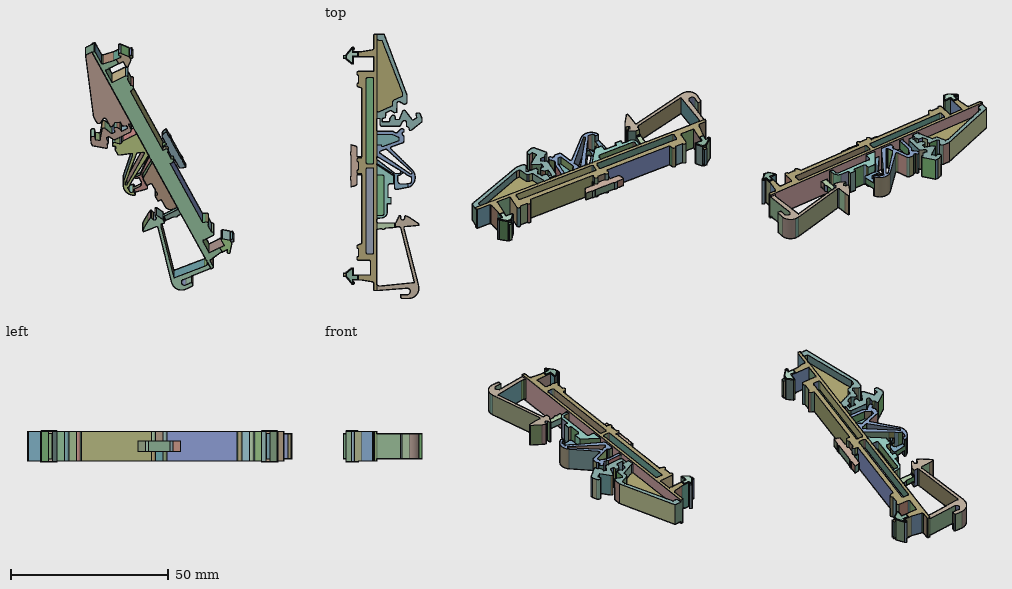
import cadquery as cq


BEAM_HEIGHT = 9.45
RAIL_SIDE_HEIGHT = 8.0
HEAD_HEIGHT = 9.92
CLIP_HEIGHT = 3.4
NECK_HEIGHT = 2.4
NECK_STEP_HEIGHT = 3.2
POCKET_FLOOR = 0.5

TOP_END = 41.84
BOTTOM_END = -39.67
SKIN = 1.0
THICK_SKIN = 2.0
BEAM_WIDTH = 4.82
BOSS_WIDTH = 5.85
BEAD = 0.5
BEAD_HALF = 0.65
BOSS_OUTER = 30.04
BOSS_INNER = 24.65
CENTRE_BOSS_HALF = 2.5
SLOT_WIDTH = 2.35
SLOT_ENDS = (0.62, 28.02)
SLOT_CORNER = 0.4
RECESS_FILLET = 0.4
ARM_INNER = 34.6
ARM_ROOT = 36.9
ARM_TIP = 36.3
ARM_LENGTH = 5.8
PIN_END = 10.65
PIN_START = 9.85
PIN_WIDTH = 1.0
HEAD_CHAMFER = 0.25
LINK_END = 9.9


def profile(start, *steps):
    """Closed outline: a step is a point (line) or a pair of points (arc: through, end)."""
    sketch = cq.Workplane("XY").moveTo(*start)
    for step in steps:
        if isinstance(step[0], tuple):
            sketch = sketch.threePointArc(*step)
        else:
            sketch = sketch.lineTo(*step)
    return sketch.close()


def prism(outline, height):
    return outline.extrude(height / 2, both=True)


def pocket(outline):
    """Cutter for a blind pocket open at the top."""
    return outline.extrude(BEAM_HEIGHT).translate((0, 0, POCKET_FLOOR))


def box(x_limits, y_limits, height):
    x_low, x_high = sorted(x_limits)
    y_low, y_high = sorted(y_limits)
    centre = ((x_low + x_high) / 2, (y_low + y_high) / 2)
    return cq.Workplane("XY").center(*centre).box(x_high - x_low, y_high - y_low, height)


def mirror_ends(shape):
    """The shape together with its mirror image at the other end of the beam."""
    return shape.union(shape.mirror("XZ"))


def bead(y):
    """Rounded bead along Z on a boss face."""
    low = y - BEAD_HALF
    high = y + BEAD_HALF
    outline = profile((-BEAM_WIDTH, high), (-BOSS_WIDTH, high),
                      ((-BOSS_WIDTH - BEAD, y), (-BOSS_WIDTH, low)), (-BEAM_WIDTH, low))
    return prism(outline, BEAM_HEIGHT)


def beam():
    corner = 0.25
    plate = box((-SKIN, 0), (BOTTOM_END, TOP_END), BEAM_HEIGHT)
    plate = plate.edges("|Z and <X").chamfer(corner)
    bar = box((-BEAM_WIDTH, 0), (-BOSS_OUTER, BOSS_OUTER), BEAM_HEIGHT)
    thick = box((-THICK_SKIN, 0), (-ARM_INNER, -BOSS_OUTER), BEAM_HEIGHT)
    body = plate.union(bar).union(thick)
    recess_corner = cq.selectors.NearestToPointSelector((-THICK_SKIN, -BOSS_OUTER, 0))
    body = body.edges(recess_corner).fillet(RECESS_FILLET)

    lead_in = 0.4
    end_boss = prism(profile((-BEAM_WIDTH, BOSS_OUTER), (-BOSS_WIDTH, BOSS_OUTER),
                             (-BOSS_WIDTH, BOSS_INNER + lead_in), (-BEAM_WIDTH, BOSS_INNER)), BEAM_HEIGHT)
    end_boss = end_boss.union(bead(BOSS_OUTER - BEAD_HALF))
    end_boss = end_boss.union(bead(BOSS_INNER + lead_in + BEAD_HALF))
    body = body.union(mirror_ends(end_boss))

    centre_boss = box((-BOSS_WIDTH, -BEAM_WIDTH), (-CENTRE_BOSS_HALF, CENTRE_BOSS_HALF), BEAM_HEIGHT)
    centre_boss = centre_boss.union(mirror_ends(bead(CENTRE_BOSS_HALF - BEAD_HALF)))
    body = body.union(centre_boss)

    slot = pocket(profile((-SKIN, SLOT_ENDS[0]), (-SKIN, SLOT_ENDS[1]),
                          (-SKIN - SLOT_WIDTH, SLOT_ENDS[1]), (-SKIN - SLOT_WIDTH, SLOT_ENDS[0])))
    slot = slot.edges("|Z").fillet(SLOT_CORNER)
    return body.cut(mirror_ends(slot))


def snap_arm():
    """Tapered arm with a barbed head and a pin at its tip."""
    bevel = 0.3
    arm = prism(profile((0, ARM_INNER), (0, ARM_ROOT + bevel), (-SKIN, ARM_ROOT + bevel),
                        (-SKIN - bevel, ARM_ROOT), (-BEAM_WIDTH, ARM_TIP), (-ARM_LENGTH, ARM_TIP),
                        (-ARM_LENGTH, ARM_INNER)), BEAM_HEIGHT)
    shoulder = 7.5
    head = prism(profile((-ARM_LENGTH, ARM_INNER), (-ARM_LENGTH, ARM_TIP), (-shoulder, ARM_TIP),
                         (-shoulder, 36.75), ((-7.55, 37.7), (-8.1, 37.35)),
                         (-PIN_START, 35.2), (-PIN_START, 33.9),
                         (-8.0, 32.4), (-7.4, 32.4), (-7.4, ARM_INNER)), HEAD_HEIGHT)
    head = head.faces(">Z").edges().chamfer(HEAD_CHAMFER)
    pin = box((-PIN_END, -shoulder), (ARM_INNER - PIN_WIDTH / 2, ARM_INNER + PIN_WIDTH / 2), RAIL_SIDE_HEIGHT)
    return arm.union(head).union(pin)


def marker_clip():
    """T-shaped clip straddling the centre boss."""
    back = -8.2
    front = -6.25
    end = 6.7
    stem_half = 2.9
    wing = profile((-BEAM_WIDTH, 0), (back, 0), (back, end), (-6.9, 6.4), (front, 5.95),
                   (front, stem_half), (-BEAM_WIDTH, stem_half))
    nub_rise = 0.15
    nub = box((back - nub_rise, back), (3.45, 4.43), CLIP_HEIGHT)
    return mirror_ends(prism(wing, CLIP_HEIGHT).union(nub))


def wedge():
    """Hollow tapered support with a stepped lower edge."""
    solid = prism(profile((0, TOP_END), (2.36, TOP_END), (9.63, 22.5), (9.63, 20.2),
                          ((9.25, 19.65), (8.5, 19.6)), (7.4, 20.25), ((6.75, 20.35), (6.45, 20.0)),
                          (6.4, 17.0), (5.57, 16.82), (4.48, 17.58), (2.91, 16.82), (2.8, 15.3),
                          (1.77, 14.97), (0, 14.97)), RAIL_SIDE_HEIGHT)
    hollow = pocket(profile((0, 40.6), ((0.2, 40.1), (0.65, 39.87)), (1.65, 39.87), (8.11, 23.28),
                            (8.11, 22.1), (5.4, 20.9), (5.07, 20.36), (5.07, 19.1), (0.5, 17.07), (0, 17.3)))
    return solid.cut(hollow)


def latch():
    """Zigzag spring latch hanging from the wedge on a thin hinge."""
    outline = profile((1.0, 15.1), (1.0, 13.5), ((1.15, 12.8), (1.6, 12.5)), (7.35, 12.5), (8.2, 14.0),
                      ((8.7, 14.35), (9.37, 13.9)), (9.37, 12.6), (10.13, 12.1), (10.4, 11.2), (10.9, 11.2),
                      (14.44, 14.0), (14.44, 14.9), (13.93, 16.2), ((13.1, 16.85), (12.4, 16.4)),
                      (12.66, 15.3), (11.4, 14.5), (9.1, 17.5), ((8.6, 17.65), (8.2, 17.4)),
                      (7.1, 14.75), (5.95, 14.75), (5.85, 15.7), ((5.1, 16.1), (4.7, 15.9)),
                      (4.1, 15.0), (4.0, 14.0), (1.77, 14.0), (1.77, 15.1))
    return prism(outline, RAIL_SIDE_HEIGHT)


def finger_and_loop():
    """Upper finger with its slanted spring arm and the open loop at the arm's end."""
    solid = prism(profile((0, 11.4), ((0.13, 11.13), (0.4, 11.0)), (5.1, 11.0), (5.7, 10.6), (6.4, 10.55),
                          (7.6, 11.7), ((8.5, 11.6), (8.65, 10.8)), (8.1, 10.5), (8.2, 9.85), (8.66, 9.4),
                          (8.66, 7.9), ((8.5, 7.45), (8.1, 7.2)), (4.8, 6.05), ((4.45, 5.8), (4.55, 5.35)),
                          (11.3, -1.3), ((12.2, -4.2), (10.4, -6.75)), (6.6, -7.5),
                          ((5.8, -7.3), (5.6, -6.8)), (5.6, -3.3), ((5.5, -2.9), (5.2, -2.6)), (0, 0.65)),
                  RAIL_SIDE_HEIGHT)
    hollow = pocket(profile((0, 9.9), (0.38, 9.98), (4.94, 9.98), (7.09, 8.97), (7.09, 8.0), (2.1, 6.2),
                            (1.6, 6.2), (1.39, 6.65), (0, 6.65)))
    upper_gap = profile((1.0, 4.4), (1.2, 4.65), (2.95, 5.3), (3.3, 5.05), (11.0, -1.95),
                        ((11.1, -2.4), (10.7, -2.55)), (1.0, 4.05))
    lower_gap = profile((0, 2.95), (7.3, -1.4), ((7.55, -2.1), (7.0, -2.4)), (5.8, -2.4), (0, 2.1))
    eye = profile((6.7, -3.1), (7.4, -2.95), (8.3, -2.3), (8.8, -2.3), (9.8, -3.1), (11.0, -3.6),
                  (11.0, -5.0), ((10.8, -5.4), (10.3, -5.55)), (9.2, -5.75), (7.5, -5.75),
                  ((6.9, -5.3), (6.7, -4.7)))
    solid = solid.cut(hollow)
    for opening in (upper_gap, lower_gap, eye):
        solid = solid.cut(prism(opening, RAIL_SIDE_HEIGHT))
    link_low = -8.0
    link_high = 2.95
    link_zone = profile((0, link_high), (7.3, -1.4), (8.8, -2.3), (9.8, -3.1), (LINK_END, -4.0),
                        (LINK_END, link_low), (5.0, link_low), (0, 0))
    zone = prism(link_zone, RAIL_SIDE_HEIGHT)
    link_slab = box((0, LINK_END), (link_low, link_high), NECK_HEIGHT)
    return solid.cut(zone.cut(link_slab))


def stop_block():
    """Hollow block under the spring loop, set apart from the loop by a narrow gap."""
    solid = prism(profile((0, 0.45), (5.35, -3.15), (5.35, -5.75), (4.3, -5.75), ((3.8, -5.9), (3.6, -6.35)),
                          (3.6, -10.03), (4.56, -10.03), (4.56, -12.06), (3.4, -12.06), (3.37, -14.8),
                          ((2.8, -16.0), (1.6, -16.6)), (0.4, -16.7), (0, -17.0)), RAIL_SIDE_HEIGHT)
    hollow = pocket(profile((0, -2.94), (1.7, -2.94), ((2.15, -3.1), (2.3, -3.5)), (2.3, -15.2),
                            ((2.1, -15.6), (1.6, -15.75)), (0, -15.75)))
    return solid.cut(hollow)


def lower_hook():
    """Foot arm, end hook and the long flexible leg that carries the lower jaw."""
    outline = profile((0, BOTTOM_END), (9.8, -38.9), ((10.6, -39.9), (9.7, -40.9)), (7.6, -40.9),
                      (7.6, -41.9), (8.0, -42.16), (10.4, -42.16), ((12.45, -41.2), (13.4, -39.2)),
                      (13.3, -37.9), (8.65, -19.8), (8.75, -19.35), (11.8, -19.1), (13.4, -18.9),
                      (13.4, -18.4), (10.4, -16.4), (9.2, -15.8), (8.9, -16.0), (8.75, -16.9),
                      ((8.2, -17.15), (7.7, -16.9)), (7.6, -15.8), (7.1, -15.85), (6.0, -18.1),
                      (6.0, -19.4), (7.3, -19.4), (7.6, -19.8), (11.9, -37.05), (1.6, -38.1),
                      (0.6, -38.1), (0, -37.7))
    return prism(outline, RAIL_SIDE_HEIGHT)


def jaw_neck():
    """Thin neck from the plate to the lower jaw, with a raised step at the jaw."""
    neck_end = 6.1
    top = -18.15
    bottom = -19.6
    outline = profile((0, -17.85), (0.4, top), (neck_end, top), (neck_end, bottom), (2.95, -19.8),
                      (2.0, -20.3), (1.4, -20.0), (0, -20.2))
    step = box((5.6, neck_end), (bottom, top), NECK_STEP_HEIGHT)
    return prism(outline, NECK_HEIGHT).union(step)


result = beam().union(mirror_ends(snap_arm())).union(marker_clip())
for build in (wedge, latch, finger_and_loop, stop_block, lower_hook, jaw_neck):
    result = result.union(build())